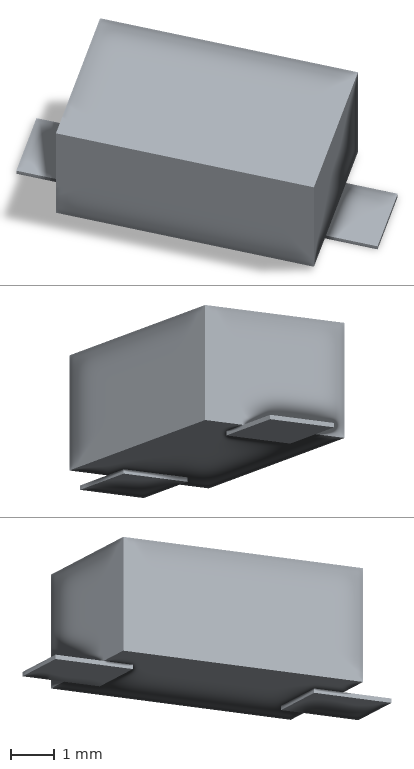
import cadquery as cq

overall_length = 8.58
overall_height = 2.8

housing_length = 6.13
housing_width = 3.7

lead_length = 1.97
lead_width = 1.69
lead_thickness = 0.1

housing_height = overall_height - lead_thickness
lead_center_x = (overall_length - lead_length) / 2


def make_housing():
    """Plain block resting on top of the two leads."""
    return (
        cq.Workplane("XY")
        .workplane(offset=lead_thickness)
        .rect(housing_length, housing_width)
        .extrude(housing_height)
    )


def make_lead(side):
    """Flat strip at the -X end (side = -1) or the +X end (side = 1)."""
    return (
        cq.Workplane("XY")
        .center(side * lead_center_x, 0)
        .rect(lead_length, lead_width)
        .extrude(lead_thickness)
    )


housing = make_housing()
leads = [make_lead(side) for side in (-1, 1)]

result = cq.Compound.makeCompound([housing.val(), *[lead.val() for lead in leads]])